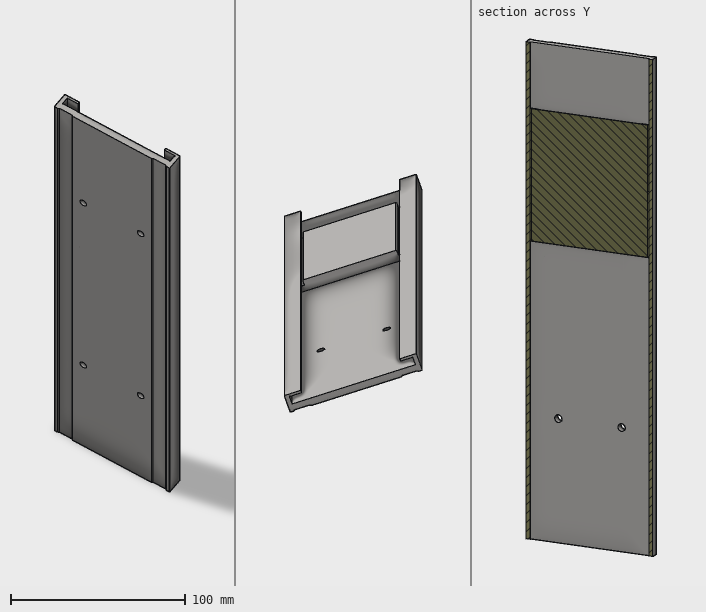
import cadquery as cq

RAIL_LENGTH = 300.0
RAIL_WIDTH = 80.0
RAIL_HEIGHT = 10.8
FLOOR_THICKNESS = 4.5
WALL_THICKNESS = 2.7
LIP_THICKNESS = 1.5
CORNER_CHAMFER = 0.3
MOUTH_WIDTH = 60.0

GROOVE_DEPTH = 0.5
GROOVE_SLOPE = 1.0
GROOVE_INNER_X = 27.3
GROOVE_OUTER_X = 37.8

HOLE_DIAMETER = 4.5
HOLE_SPACING_X = 40.0
HOLE_SPACING_Z = RAIL_LENGTH / 2

TOTAL_HEIGHT = 12.0
CARRIAGE_LENGTH = 80.0
CARRIAGE_START_Z = 180.0
HEAD_WIDTH = 57.0
HEAD_CHAMFER = 0.5

LINER_THICKNESS = 0.5
LINER_LEG = 4.5
LINERS_PER_SIDE = 2

CHANNEL_WIDTH = RAIL_WIDTH - 2 * WALL_THICKNESS
CHANNEL_HEIGHT = RAIL_HEIGHT - FLOOR_THICKNESS - LIP_THICKNESS
WING_WIDTH = CHANNEL_WIDTH - 2 * LINER_THICKNESS
WING_BOTTOM_Y = FLOOR_THICKNESS + LINER_THICKNESS
WING_HEIGHT = CHANNEL_HEIGHT - 2 * LINER_THICKNESS
LINER_LENGTH = CARRIAGE_LENGTH / LINERS_PER_SIDE


def block(x_min, x_max, y_min, y_max, z_min, length):
    """Box given by its X and Y limits, its lower end and its length along Z."""
    size = (x_max - x_min, y_max - y_min, length)
    return cq.Workplane("XY").box(*size, centered=False).translate((x_min, y_min, z_min))


def centred_bar(width, y_min, height, z_min, length):
    """Bar along Z that is symmetric about X = 0."""
    return block(-width / 2, width / 2, y_min, y_min + height, z_min, length)


def make_channel_body():
    """Rail without grooves and holes, with its outer long edges bevelled."""
    body = centred_bar(RAIL_WIDTH, 0, RAIL_HEIGHT, 0, RAIL_LENGTH)
    body = body.edges("|Z").chamfer(CORNER_CHAMFER)
    channel = centred_bar(CHANNEL_WIDTH, FLOOR_THICKNESS, CHANNEL_HEIGHT, 0, RAIL_LENGTH)
    mouth_depth = RAIL_HEIGHT - FLOOR_THICKNESS
    mouth = centred_bar(MOUTH_WIDTH, FLOOR_THICKNESS, mouth_depth, 0, RAIL_LENGTH)
    return body.cut(channel).cut(mouth)


def make_groove():
    """Cutter for the groove on the +X side, wider at its mouth than at its floor."""
    return (
        cq.Workplane("XY")
        .moveTo(GROOVE_INNER_X, 0)
        .lineTo(GROOVE_OUTER_X, 0)
        .lineTo(GROOVE_OUTER_X - GROOVE_SLOPE, GROOVE_DEPTH)
        .lineTo(GROOVE_INNER_X + GROOVE_SLOPE, GROOVE_DEPTH)
        .close()
        .extrude(RAIL_LENGTH)
    )


def make_mounting_holes():
    """Cutters for the four holes through the rail floor."""
    return (
        cq.Workplane("XZ", origin=(0, 0, RAIL_LENGTH / 2))
        .rarray(HOLE_SPACING_X, HOLE_SPACING_Z, 2, 2)
        .circle(HOLE_DIAMETER / 2)
        .extrude(-FLOOR_THICKNESS)
    )


def make_rail():
    groove = make_groove()
    body = make_channel_body().cut(groove).cut(groove.mirror("YZ"))
    return body.cut(make_mounting_holes())


def make_carriage():
    """Plate with wings inside the channel and a bevelled head standing out of its mouth."""
    wings = centred_bar(WING_WIDTH, WING_BOTTOM_Y, WING_HEIGHT, CARRIAGE_START_Z, CARRIAGE_LENGTH)
    head_height = TOTAL_HEIGHT - WING_BOTTOM_Y
    head = centred_bar(HEAD_WIDTH, WING_BOTTOM_Y, head_height, CARRIAGE_START_Z, CARRIAGE_LENGTH)
    head = head.edges("|Z and >Y").chamfer(HEAD_CHAMFER)
    return wings.union(head)


def make_liner(z_min):
    """C-section on the +X side that wraps the edge of one carriage wing."""
    outer_x = CHANNEL_WIDTH / 2
    inner_x = outer_x - LINER_LEG
    channel_top_y = FLOOR_THICKNESS + CHANNEL_HEIGHT
    liner = block(inner_x, outer_x, FLOOR_THICKNESS, channel_top_y, z_min, LINER_LENGTH)
    wing_top_y = WING_BOTTOM_Y + WING_HEIGHT
    wing_slot = block(inner_x, WING_WIDTH / 2, WING_BOTTOM_Y, wing_top_y, z_min, LINER_LENGTH)
    return liner.cut(wing_slot)


rail = make_rail()
carriage = make_carriage()

liners = []
for index in range(LINERS_PER_SIDE):
    liner = make_liner(CARRIAGE_START_Z + index * LINER_LENGTH)
    liners.append(liner.val())
    liners.append(liner.mirror("YZ").val())

result = cq.Compound.makeCompound([rail.val(), carriage.val(), *liners])